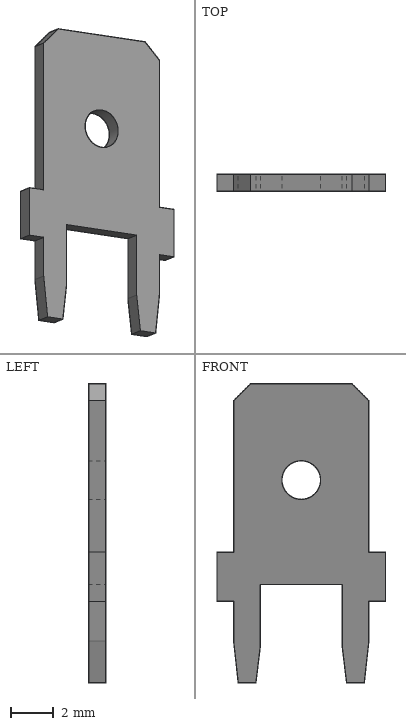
import cadquery as cq

thickness = 0.81
total_height = 14.02
blade_width = 6.35
corner_chamfer = 0.8

shoulder_width = 7.92
shoulder_bottom = 3.82
shoulder_top = 6.12

slot_width = 3.83
slot_top = 4.6
pin_tip_width = 0.84
pin_tip_spacing = 5.08
outer_taper_height = 1.95
inner_taper_height = 1.7

hole_diameter = 1.8
hole_height = 9.5


def half_outline():
    """Right half of the outline, from the slot up to the top edge, as (x, z) points."""
    blade_side = blade_width / 2
    shoulder_side = shoulder_width / 2
    slot_side = slot_width / 2
    tip_inner = (pin_tip_spacing - pin_tip_width) / 2
    tip_outer = (pin_tip_spacing + pin_tip_width) / 2
    return [
        (slot_side, slot_top),
        (slot_side, inner_taper_height),
        (tip_inner, 0),
        (tip_outer, 0),
        (blade_side, outer_taper_height),
        (blade_side, shoulder_bottom),
        (shoulder_side, shoulder_bottom),
        (shoulder_side, shoulder_top),
        (blade_side, shoulder_top),
        (blade_side, total_height - corner_chamfer),
        (blade_side - corner_chamfer, total_height),
    ]


def make_blade():
    """Symmetric sheet-metal blank, centred on X and Y."""
    right_half = half_outline()
    left_half = [(-x, z) for x, z in reversed(right_half)]
    return (
        cq.Workplane("XZ", origin=(0, thickness / 2, 0))
        .polyline(right_half + left_half)
        .close()
        .extrude(thickness)
    )


def make_hole():
    """Cylinder that fills the locking hole through the full sheet thickness."""
    return (
        cq.Workplane("XZ", origin=(0, thickness / 2, hole_height))
        .circle(hole_diameter / 2)
        .extrude(thickness)
    )


result = make_blade().cut(make_hole())